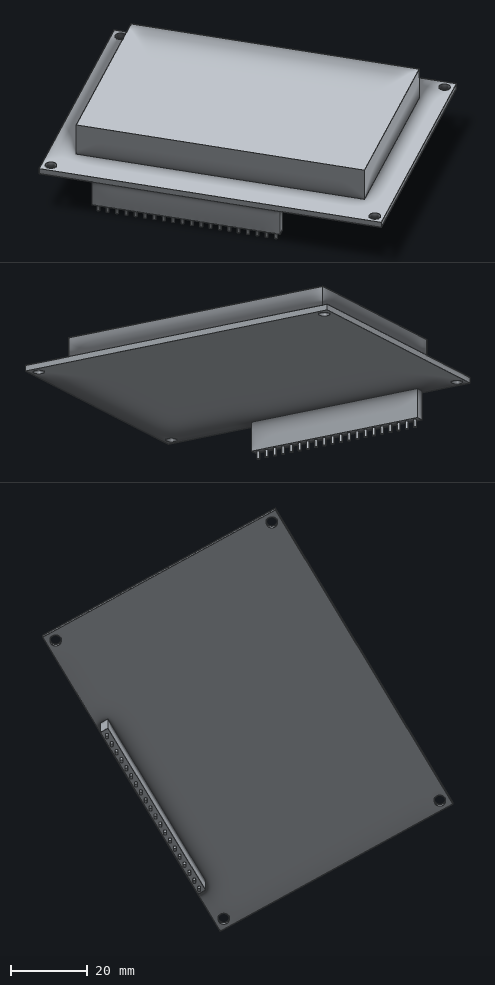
import cadquery as cq

board_length = 93.0
board_width = 70.0
board_thickness = 1.6

hole_diameter = 3.0
hole_edge_distance = 2.5

display_length = 78.3
display_width = 51.1
display_height = 9.0

header_length = 51.15
header_width = 2.2
header_height = 8.0
header_center_x = -7.0
header_edge_distance = 2.5
header_center_y = header_edge_distance - board_width / 2

pin_count = 20
pin_row_length = 48.3
pin_pitch = pin_row_length / (pin_count - 1)
pin_diameter = 0.8
pin_length = 2.0


def make_board():
    """Flat board with a through hole at each corner."""
    board = cq.Workplane("XY").box(
        board_length, board_width, board_thickness, centered=(True, True, False)
    )
    return (
        board.faces(">Z").workplane()
        .rect(
            board_length - 2 * hole_edge_distance,
            board_width - 2 * hole_edge_distance,
            forConstruction=True,
        )
        .vertices()
        .hole(hole_diameter)
    )


def make_display():
    """Rectangular block standing on the board."""
    return (
        cq.Workplane("XY", origin=(0, 0, board_thickness))
        .rect(display_length, display_width)
        .extrude(display_height)
    )


def make_header():
    """Header body hanging from the board, with its row of pins."""
    body = (
        cq.Workplane("XY", origin=(header_center_x, header_center_y, 0))
        .rect(header_length, header_width)
        .extrude(-header_height)
    )
    pins = (
        cq.Workplane("XY", origin=(header_center_x, header_center_y, -header_height))
        .rarray(pin_pitch, 0.9, pin_count, 1)
        .circle(pin_diameter / 2)
        .extrude(-pin_length)
    )
    return body.union(pins)


result = make_board().union(make_display()).union(make_header())